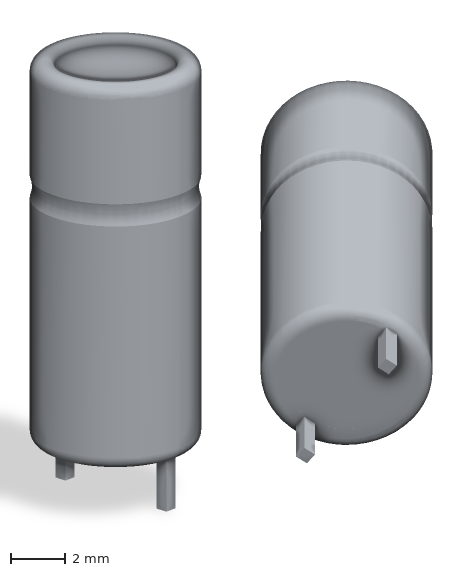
import cadquery as cq

can_diameter = 6.3
can_radius = can_diameter / 2
pin_length = 2.0
total_height = 17
can_height = total_height - pin_length
rim_round = 0.5
rim_center_radius = can_radius - rim_round

groove_middle_z = 9.98
groove_width = 0.87
groove_depth = 0.08

floor_radius = 2.21
rim_center_z = can_height - rim_round
floor_z = rim_center_z + (rim_round**2 - (rim_center_radius - floor_radius) ** 2) ** 0.5

stripe_width = can_radius

pin_pitch = 5.0
pin_size = 0.5
pin_insertion = rim_round


def make_envelope():
    """Outer shape of can and stripe halves together, revolved about Z."""
    diagonal = rim_round * 0.5**0.5
    groove_bottom_z = groove_middle_z - groove_width / 2
    groove_top_z = groove_middle_z + groove_width / 2
    profile = (
        cq.Workplane("XZ")
        .lineTo(rim_center_radius, 0)
        .threePointArc((rim_center_radius + diagonal, rim_round - diagonal), (can_radius, rim_round))
        .lineTo(can_radius, groove_bottom_z)
        .threePointArc((can_radius - groove_depth, groove_middle_z), (can_radius, groove_top_z))
        .lineTo(can_radius, rim_center_z)
        .threePointArc((rim_center_radius, can_height), (floor_radius, floor_z))
        .lineTo(0, floor_z)
        .close()
    )
    return profile.revolve(360, (0, 0, 0), (0, 1, 0))


def make_stripe_zone(side):
    """Block on +X covering one half of the stripe (side -1 or 1 in Y), hollowed to the floor radius."""
    block = (
        cq.Workplane("XY")
        .box(can_radius, stripe_width / 2, can_height, centered=(False, True, False))
        .translate((0, side * stripe_width / 4, 0))
    )
    core = cq.Workplane("XY").circle(floor_radius).extrude(can_height)
    return block.cut(core)


def make_pin(x):
    """Square pin reaching from below the can into its socket."""
    return (
        cq.Workplane("XY", origin=(x, 0, -pin_length))
        .rect(pin_size, pin_size)
        .extrude(pin_length + pin_insertion)
    )


pins = [make_pin(side * pin_pitch / 2) for side in (-1, 1)]

envelope = make_envelope()
for pin in pins:
    envelope = envelope.cut(pin)

can = envelope
stripe_halves = []
for side in (-1, 1):
    zone = make_stripe_zone(side)
    can = can.cut(zone)
    stripe_halves.append(envelope.intersect(zone))

bodies = [can, *stripe_halves, *pins]
result = cq.Compound.makeCompound([body.solids().val() for body in bodies])